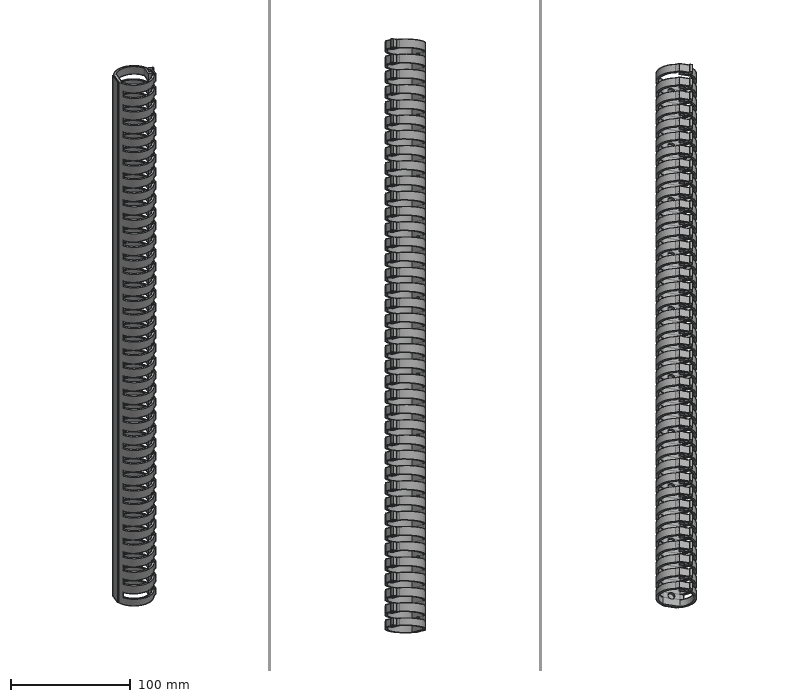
import cadquery as cq
import math


length = 500.0
outer_radius = 17.0
wall = 2.0
inner_radius = outer_radius - wall
base_y = -15.5
floor_y = -13.0

arm_top = 18.5
arm_bottom = 17.0
arm_root_x = 3.0
arm_outer_x = 6.0
arm_inner_x = 5.0
grip_left = -8.0
grip_top = 20.0
nose_x = -8.5
hook_left = -7.5
hook_right = -5.5
hook_tip = 15.0
lip_top = 14.5
lip_bend_radius = 4.0
lip_end = 1.5
tooth_left = -2.0
tooth_top = 16.0

first_slot_z = 9.0
slot_count = 38
slot_pitch = 13.0
slot_root_width = 5.0
slot_mouth_width = 6.0
slot_cut_width = 3 * outer_radius

hole_diameter = 6.0
hole_slots = (0, 4, 8, 12, 16)

tape_width = 12.0
tape_thickness = 1.0


def circle_height(radius, x):
    """Height above the axis of a circle at the given x."""
    return math.sqrt(radius**2 - x**2)


def circle_half_width(radius, y):
    """Half width of a circle at the given y."""
    return math.sqrt(radius**2 - y**2)


def slot_z(index):
    """Centre height of a slot."""
    return first_slot_z + index * slot_pitch


def make_profile():
    """Extruded open ring with its flat base, arm, hook and lip."""
    base_half = circle_half_width(outer_radius, base_y)
    floor_half = circle_half_width(inner_radius, floor_y)
    lip_bottom = lip_top - wall
    bend_y = lip_top - lip_bend_radius
    bend_distance = outer_radius - lip_bend_radius
    bend_x = -circle_half_width(bend_distance, bend_y)
    bend_outer_end = (bend_x * outer_radius / bend_distance, bend_y * outer_radius / bend_distance)
    bend_inner_end = (bend_x * inner_radius / bend_distance, bend_y * inner_radius / bend_distance)
    return (
        cq.Workplane("XY")
        .moveTo(-base_half, base_y)
        .lineTo(base_half, base_y)
        .threePointArc((outer_radius, 0), (arm_outer_x, circle_height(outer_radius, arm_outer_x)))
        .lineTo(arm_root_x, arm_top)
        .lineTo(hook_right, arm_top)
        .lineTo(hook_right, grip_top)
        .lineTo(grip_left, grip_top)
        .lineTo(grip_left, arm_top)
        .threePointArc((nose_x, arm_bottom), (hook_left, hook_tip))
        .lineTo(hook_right, hook_tip)
        .lineTo(hook_right, arm_bottom)
        .lineTo(arm_root_x, arm_bottom)
        .lineTo(arm_inner_x, circle_height(inner_radius, arm_inner_x))
        .threePointArc((inner_radius, 0), (floor_half, floor_y))
        .lineTo(-floor_half, floor_y)
        .threePointArc((-inner_radius, 0), bend_inner_end)
        .tangentArcPoint((bend_x, lip_bottom), relative=False)
        .lineTo(lip_end, lip_bottom)
        .lineTo(lip_end, tooth_top)
        .lineTo(tooth_left, tooth_top)
        .lineTo(tooth_left, lip_top)
        .lineTo(bend_x, lip_top)
        .tangentArcPoint(bend_outer_end, relative=False)
        .threePointArc((-outer_radius, 0), (-base_half, base_y))
        .close()
        .extrude(length)
    )


def make_slot(index):
    """Tapered cutter for one slot, narrow at the floor and wide at the top."""
    z = slot_z(index)
    return (
        cq.Workplane("YZ")
        .polyline([
            (floor_y, z - slot_root_width / 2),
            (grip_top, z - slot_mouth_width / 2),
            (grip_top, z + slot_mouth_width / 2),
            (floor_y, z + slot_root_width / 2),
        ])
        .close()
        .extrude(slot_cut_width / 2, both=True)
    )


def make_hole(index):
    """Cutter for one round hole through the base, in line with a slot."""
    base_thickness = floor_y - base_y
    return (
        cq.Workplane("XZ", origin=(0, floor_y, slot_z(index)))
        .circle(hole_diameter / 2)
        .extrude(base_thickness)
    )


def make_duct():
    """Slotted duct with mounting holes in its base."""
    cutters = [make_slot(index).val() for index in range(slot_count)]
    for index in hole_slots:
        cutters.append(make_hole(index).val())
        cutters.append(make_hole(slot_count - 1 - index).val())
    return cq.Workplane(make_profile().val().cut(*cutters)).solids()


def make_tape():
    """Adhesive strip along the flat underside, covering the mounting holes."""
    return (
        cq.Workplane("XY")
        .center(0, base_y - tape_thickness / 2)
        .rect(tape_width, tape_thickness)
        .extrude(length)
    )


duct = make_duct()
tape = make_tape()

result = cq.Compound.makeCompound([duct.val(), tape.val()])